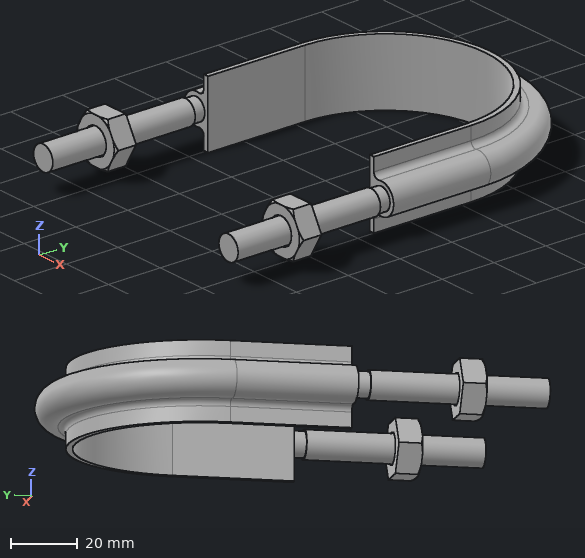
import cadquery as cq
import math

overall_width = 107.6
overall_length = 146.2
nut_across_corners = 19.7
leg_spacing = overall_width - nut_across_corners
bend_radius = leg_spacing / 2

strip_width = 25.0
strip_inner_radius = 38.3
strip_thickness = 2.0
sheath_radius = 5.77
sheath_fillet = 2.0
liner_leg = 37.5

shank_diameter = 8.2
thread_diameter = 9.2
neck_length = 4.1
bend_outer_radius = bend_radius + sheath_radius
bolt_end_y = bend_outer_radius - overall_length
thread_start_y = -(liner_leg + neck_length)

nut_bore_diameter = 10.0
nut_thickness = 7.6
nut_end_distance = 20.3
nut_chamfer_diameter = 17.4
nut_chamfer_angle = 30.0


def liner_outline():
    """Closed section of strip and sheath, with distance from the bend axis as the first coordinate."""
    half_width = strip_width / 2
    strip_outer = strip_inner_radius + strip_thickness
    fillet_x = strip_outer + sheath_fillet
    centre_distance = sheath_radius + sheath_fillet
    fillet_z = math.sqrt(centre_distance**2 - (bend_radius - fillet_x) ** 2)
    tangent_ratio = sheath_radius / centre_distance
    tangent_x = bend_radius + (fillet_x - bend_radius) * tangent_ratio
    tangent_z = fillet_z * tangent_ratio
    end_angle = math.atan2(tangent_z - fillet_z, tangent_x - fillet_x)
    middle_angle = (end_angle - math.pi) / 2
    middle_x = fillet_x + sheath_fillet * math.cos(middle_angle)
    middle_z = fillet_z + sheath_fillet * math.sin(middle_angle)
    return (
        cq.Workplane("XZ")
        .moveTo(strip_inner_radius, half_width)
        .lineTo(strip_outer, half_width)
        .lineTo(strip_outer, fillet_z)
        .threePointArc((middle_x, middle_z), (tangent_x, tangent_z))
        .threePointArc((bend_outer_radius, 0), (tangent_x, -tangent_z))
        .threePointArc((middle_x, -middle_z), (strip_outer, -fillet_z))
        .lineTo(strip_outer, -half_width)
        .lineTo(strip_inner_radius, -half_width)
        .close()
    )


def shank_outline():
    return cq.Workplane("XZ").moveTo(bend_radius, 0).circle(shank_diameter / 2)


def u_shape(draw_outline, leg_length):
    """Carry a section around the half-circle bend and along both straight legs."""
    leg = draw_outline().extrude(leg_length)
    bend = draw_outline().revolve(180, (0, 0), (0, 1))
    return bend.union(leg).union(leg.mirror("YZ"))


def round_bar(x, start_y, end_y, diameter):
    """Cylinder running from start_y toward -Y."""
    return cq.Workplane("XZ", origin=(x, start_y, 0)).circle(diameter / 2).extrude(start_y - end_y)


def make_u_bolt():
    bolt = u_shape(shank_outline, -thread_start_y)
    for x in (-bend_radius, bend_radius):
        bolt = bolt.union(round_bar(x, thread_start_y, bolt_end_y, thread_diameter))
    return bolt


def make_liner(bolt):
    return u_shape(liner_outline, liner_leg).cut(bolt)


def make_nut(x):
    """Loose-fitting hexagon nut with its corners along X and its -Y face chamfered."""
    outer_face_y = bolt_end_y + nut_end_distance
    inner_face_y = outer_face_y + nut_thickness
    plane = cq.Workplane("XZ", origin=(x, inner_face_y, 0))
    hexagon = plane.polygon(6, nut_across_corners).extrude(nut_thickness)
    chamfer_width = (nut_across_corners - nut_chamfer_diameter) / 2
    chamfer_height = chamfer_width * math.tan(math.radians(nut_chamfer_angle))
    envelope = (
        plane.circle(nut_across_corners / 2)
        .extrude(nut_thickness)
        .faces("<Y")
        .chamfer(chamfer_height, chamfer_width)
    )
    bore = plane.circle(nut_bore_diameter / 2).extrude(nut_thickness)
    return hexagon.intersect(envelope).cut(bore)


u_bolt = make_u_bolt()
liner = make_liner(u_bolt)
nuts = [make_nut(x) for x in (-bend_radius, bend_radius)]

result = cq.Compound.makeCompound([u_bolt.val(), liner.val(), *[nut.val() for nut in nuts]])